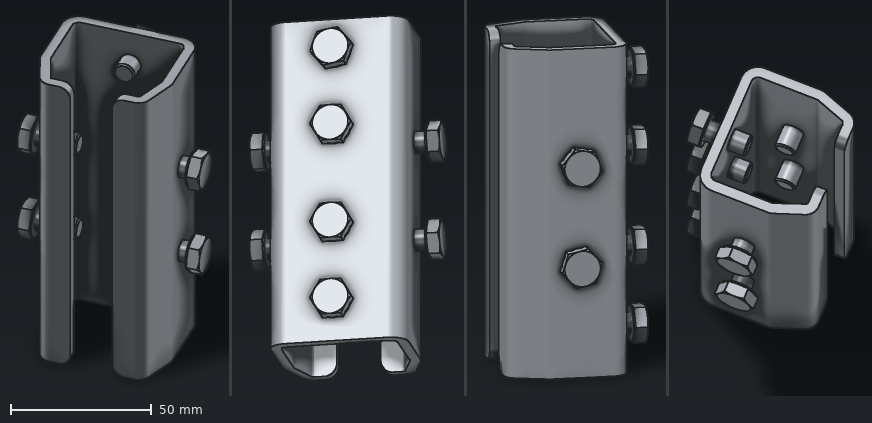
import cadquery as cq
import math

length = 120.0
width = 50.0
depth = 44.0
wall = 4.0
lean_angle = 20.0
bend_from_back = 29.0
back_radius = 6.5
front_radius = 5.0
opening = 16.0
lip_corner_radius = 4.5

shank_diameter = 7.9
shank_length = 16.0
tip_chamfer = 0.6
head_flats = 13.0
head_height = 5.3
head_chamfer_height = 0.5
washer_height = 0.6
neck_radius = 0.4
corner_radius = head_flats / math.sqrt(3)

inner_height = 18.2
outer_height = 46.7
side_bolt_from_back = 19.1
left_reach = 9.8
right_reach = 9.0
back_reach = 10.5

half_width = width / 2
side_y = -side_bolt_from_back
LEFT, RIGHT, BACK = (-1, 0, 0), (1, 0, 0), (0, 1, 0)
left_x = -half_width - left_reach + head_height
right_x = half_width + right_reach - head_height
back_y = back_reach - head_height

bolt_places = [
    ((left_x, side_y, inner_height), LEFT, -14),
    ((left_x, side_y, -inner_height), LEFT, 0),
    ((right_x, side_y, inner_height), RIGHT, -10),
    ((right_x, side_y, -inner_height), RIGHT, 13),
    ((0, back_y, outer_height), BACK, 10),
    ((0, back_y, inner_height), BACK, 0),
    ((0, back_y, -inner_height), BACK, 0),
    ((0, back_y, -outer_height), BACK, 0),
]


def bolt_location(origin, outward, turn):
    """Places local +Z along the outward direction, turned about it."""
    across = (1, 0, 0) if outward == BACK else (0, 1, 0)
    return cq.Location(cq.Plane(origin, across, outward)) * cq.Location(
        cq.Vector(), cq.Vector(0, 0, 1), turn
    )


def make_head():
    """Hexagon above the bearing face, its top corners turned to a chamfer."""
    hexagon = (
        cq.Workplane("XY", origin=(0, 0, washer_height))
        .polygon(6, 2 * corner_radius)
        .extrude(head_height - washer_height)
    )
    turned_blank = (
        cq.Workplane("XY")
        .circle(corner_radius)
        .extrude(head_height)
        .faces(">Z")
        .edges()
        .chamfer(head_chamfer_height, corner_radius - head_flats / 2)
    )
    return hexagon.intersect(turned_blank)


def make_shank():
    """Round bearing face above Z = 0, then neck fillet, shank and chamfered tip below."""
    washer_radius = head_flats / 2
    shank_radius = shank_diameter / 2
    return (
        cq.Workplane("XZ")
        .moveTo(0, washer_height)
        .lineTo(washer_radius, washer_height)
        .lineTo(washer_radius, 0)
        .lineTo(shank_radius + neck_radius, 0)
        .tangentArcPoint((shank_radius, -neck_radius), relative=False)
        .lineTo(shank_radius, tip_chamfer - shank_length)
        .lineTo(shank_radius - tip_chamfer, -shank_length)
        .lineTo(0, -shank_length)
        .close()
        .revolve(360, (0, 0, 0), (0, 1, 0))
    )


def make_channel():
    """Bent channel with rounded lip ends and a hole for every bolt."""
    front_half = half_width - (depth - bend_from_back) * math.tan(math.radians(lean_angle))
    outline = [
        (-half_width, 0),
        (half_width, 0),
        (half_width, -bend_from_back),
        (front_half, -depth),
        (-front_half, -depth),
        (-half_width, -bend_from_back),
    ]
    block = cq.Workplane("XY").workplane(offset=-length / 2).polyline(outline).close().extrude(length)
    block = block.edges("|Z and (not >Y)").fillet(front_radius)
    block = block.edges("|Z and >Y").fillet(back_radius)
    channel = block.faces("|Z").shell(-wall)

    lip_gap = cq.Workplane("XY", origin=(0, -depth, 0)).box(opening, 2 * wall, length)
    channel = channel.cut(lip_gap)
    channel = channel.edges("|Y").edges("<Y").fillet(lip_corner_radius)

    hole = cq.Workplane("XY").circle(shank_diameter / 2).extrude(-shank_length).val()
    for place in bolt_places:
        channel = channel.cut(cq.Workplane(hole.moved(bolt_location(*place))))
    return channel


channel = make_channel()
bolt = make_head().union(make_shank()).val()
bolts = [bolt.moved(bolt_location(*place)) for place in bolt_places]
result = cq.Compound.makeCompound([channel.val(), *bolts])